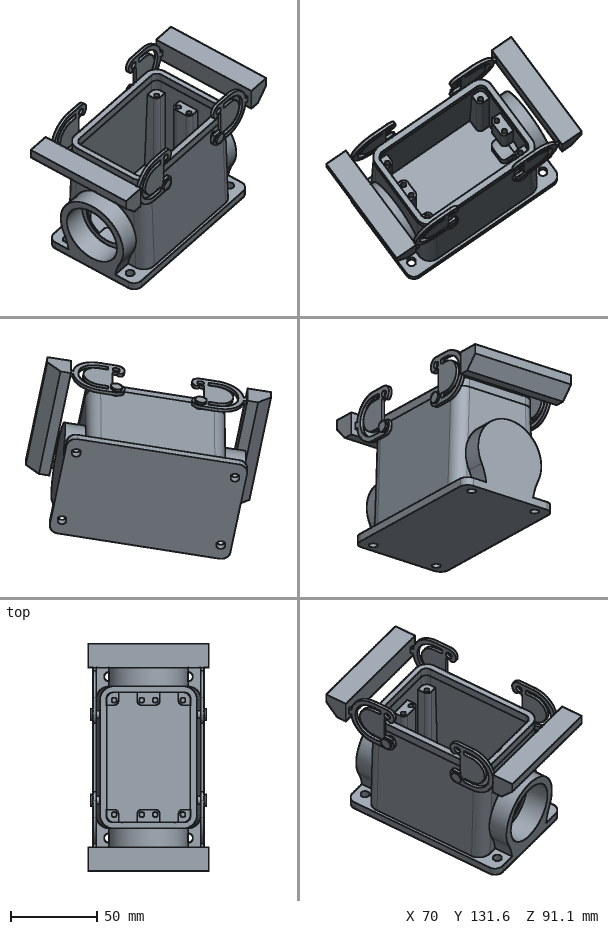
import cadquery as cq
import math

BASE_WIDTH = 64.4
BASE_LENGTH = 106.2
BASE_THICKNESS = 5.0
BASE_CORNER_RADIUS = 5.4
MOUNT_HOLE_DIAMETER = 5.2
MOUNT_HOLE_X = 23.0
MOUNT_HOLE_Y = 46.7

BODY_LENGTH = 82.2
BODY_WIDTH_BOTTOM = 60.6
BODY_WIDTH_TOP = 56.0
BODY_CORNER_RADIUS = 7.7
SIDE_WALL = 3.8
END_WALL = 3.5
CAVITY_LENGTH = BODY_LENGTH - 2 * END_WALL
CAVITY_CORNER_RADIUS = BODY_CORNER_RADIUS - SIDE_WALL
WALL_TOP = 69.5
FLOOR_TOP = BASE_THICKNESS

RIM_TOP = 75.0

BOSS_RADIUS = 23.0
BOSS_CENTRE_Z = 26.5
BOSS_FOOT_RADIUS = 37.0
ENTRY_BORE_RADIUS = 18.4
ENTRY_BORE_DEPTH = 14.3
ENTRY_HOLE_RADIUS = 15.1

POST_TOP = 62.0
POST_FACE_Y = 30.2
POST_EDGE_RADIUS = 2.8
MIDDLE_POST_WIDTH = 13.2
CORNER_POST_INNER_X = 17.3
POST_HOLE_DIAMETER = 3.0
POST_HOLE_DEPTH = 10.0
POST_HOLE_Y = 33.1
MIDDLE_POST_HOLE_X = 3.9
CORNER_POST_HOLE_X = 19.9

LEVER_TOP = 91.1
PLATE_OUTER_X = BASE_WIDTH / 2
PLATE_THICKNESS = 2.0
RING_CENTRE_Y = 34.7
RING_RADIUS = 15.55
LEVER_CENTRE_Z = LEVER_TOP - RING_RADIUS
SLOT_OUTER_RADIUS = 12.4
SLOT_INNER_RADIUS = 9.4
SLOT_END_Y = 29.5
SLOT_END_FILLET = 0.9
PLATE_EDGE_Y = 26.9
HOOK_CENTRE_Y = 24.8
HOOK_RADIUS = 5.0
HOOK_HOLE_RADIUS = 2.0
HOOK_Z = LEVER_TOP - HOOK_RADIUS
HOOK_THROAT_Z = 83.2
HOOK_LIP_RADIUS = 1.7
HOOK_LIP_ANGLE = 45.0
PIVOT_Z = 2 * LEVER_CENTRE_Z - HOOK_Z
PIVOT_EAR_TOP = 68.5
PLATE_EDGE_FILLET = 1.2
STUB_HEIGHT = 3.9

OVERALL_LENGTH = 131.6
BAR_LENGTH = 70.0
BAR_INNER_Y = 51.9
BAR_OUTER_Y = OVERALL_LENGTH / 2
BAR_TOP = 83.5
BAR_BOTTOM = 69.4
BAR_BEVEL_Y = 58.1
BAR_BEVEL_Z = 77.5

PIN_RADIUS = 2.2
PIN_HEAD_RADIUS = 3.4
PIN_HEAD_X = 33.5
PIN_ROOT_X = BODY_WIDTH_TOP / 2 - SIDE_WALL / 2


def rounded_outline(width, length, radius):
    return cq.Sketch().rect(width, length).vertices().fillet(radius)


def tapered_block(width_bottom, width_top, length, radius, z_bottom, z_top):
    """Block with rounded corners whose long sides lean inwards between two heights."""
    return (
        cq.Workplane("XZ", origin=(0, length / 2, 0))
        .moveTo(-width_bottom / 2, z_bottom)
        .lineTo(width_bottom / 2, z_bottom)
        .lineTo(width_top / 2, z_top)
        .lineTo(-width_top / 2, z_top)
        .close()
        .extrude(length)
        .edges("not(#Z or |Y)")
        .fillet(radius)
    )


def base_plate():
    plate = cq.Workplane("XY").placeSketch(rounded_outline(BASE_WIDTH, BASE_LENGTH, BASE_CORNER_RADIUS))
    return plate.extrude(BASE_THICKNESS)


def wall_block():
    return tapered_block(
        BODY_WIDTH_BOTTOM, BODY_WIDTH_TOP, BODY_LENGTH, BODY_CORNER_RADIUS, BASE_THICKNESS, WALL_TOP
    )


def cavity():
    return tapered_block(
        BODY_WIDTH_BOTTOM - 2 * SIDE_WALL,
        BODY_WIDTH_TOP - 2 * SIDE_WALL,
        CAVITY_LENGTH,
        CAVITY_CORNER_RADIUS,
        FLOOR_TOP,
        WALL_TOP,
    )


def entry_boss(side):
    """Round boss on a foot whose flanks sweep tangentially into the circle."""
    reach = BOSS_RADIUS + BOSS_FOOT_RADIUS
    foot_centre_x = math.sqrt(reach**2 - BOSS_CENTRE_Z**2)
    foot_x = foot_centre_x - BOSS_FOOT_RADIUS
    tangent_x = foot_centre_x * BOSS_RADIUS / reach
    tangent_z = BOSS_CENTRE_Z * (1 - BOSS_RADIUS / reach)
    mid_angle = math.asin(BOSS_CENTRE_Z / reach) / 2
    flank_x = foot_centre_x - BOSS_FOOT_RADIUS * math.cos(mid_angle)
    flank_z = BOSS_FOOT_RADIUS * math.sin(mid_angle)
    profile = (
        cq.Workplane("XZ")
        .moveTo(foot_x, 0)
        .threePointArc((flank_x, flank_z), (tangent_x, tangent_z))
        .threePointArc((0, BOSS_CENTRE_Z + BOSS_RADIUS), (-tangent_x, tangent_z))
        .threePointArc((-flank_x, flank_z), (-foot_x, 0))
        .close()
    )
    outer_y = BASE_LENGTH / 2
    inner_y = CAVITY_LENGTH / 2
    boss = profile.extrude(outer_y - inner_y)
    return boss.translate((0, outer_y if side > 0 else -inner_y, 0))


def cable_entry():
    """Stepped bore of the open entry at the -Y end, clearing the post behind it."""
    face = cq.Workplane("XZ", origin=(0, -BASE_LENGTH / 2, BOSS_CENTRE_Z))
    bore = face.circle(ENTRY_BORE_RADIUS).extrude(-ENTRY_BORE_DEPTH)
    hole = face.circle(ENTRY_HOLE_RADIUS).extrude(-(BASE_LENGTH / 2 - POST_FACE_Y))
    return bore.union(hole)


def screw_posts(side):
    """One middle post and two corner posts against an end wall."""
    wall_y = (CAVITY_LENGTH + END_WALL) / 2
    depth = wall_y - POST_FACE_Y
    height = POST_TOP - FLOOR_TOP
    corner_width = BODY_WIDTH_TOP / 2 - CORNER_POST_INNER_X
    corner_x = CORNER_POST_INNER_X + corner_width / 2
    centre_y = (wall_y + POST_FACE_Y) / 2

    def block(width, x, edges):
        post = cq.Workplane("XY").box(width, depth, height, centered=(True, True, False))
        return post.edges(edges).fillet(POST_EDGE_RADIUS).translate((x, centre_y, FLOOR_TOP))

    posts = block(MIDDLE_POST_WIDTH, 0, "|Z and <Y")
    posts = posts.union(block(corner_width, corner_x, "|Z and <Y and <X"))
    posts = posts.union(block(corner_width, -corner_x, "|Z and <Y and >X"))
    hole_places = [
        (x, POST_HOLE_Y)
        for x in (-CORNER_POST_HOLE_X, -MIDDLE_POST_HOLE_X, MIDDLE_POST_HOLE_X, CORNER_POST_HOLE_X)
    ]
    holes = (
        cq.Workplane("XY", origin=(0, 0, POST_TOP))
        .pushPoints(hole_places)
        .circle(POST_HOLE_DIAMETER / 2)
        .extrude(-POST_HOLE_DEPTH)
    )
    posts = posts.cut(holes).intersect(wall_block())
    return posts if side > 0 else posts.mirror("XZ")


def pivot_pin(side_x, side_y):
    pin = (
        cq.Workplane("YZ", origin=(PIN_ROOT_X, side_y * HOOK_CENTRE_Y, PIVOT_Z))
        .circle(PIN_RADIUS)
        .extrude(PIN_HEAD_X - PIN_ROOT_X)
    )
    head = (
        cq.Workplane("YZ", origin=(PLATE_OUTER_X, side_y * HOOK_CENTRE_Y, PIVOT_Z))
        .circle(PIN_HEAD_RADIUS)
        .extrude(PIN_HEAD_X - PLATE_OUTER_X)
    )
    pin = pin.union(head)
    return pin if side_x > 0 else pin.mirror("YZ")


def plate_blank():
    """Lever plate outline: half ring at the handle, hook above, pivot ear below."""
    plate_bottom = LEVER_CENTRE_Z - RING_RADIUS
    ear_y = HOOK_CENTRE_Y - math.sqrt(HOOK_RADIUS**2 - (PIVOT_EAR_TOP - PIVOT_Z) ** 2)
    lip_reach = HOOK_RADIUS - HOOK_LIP_RADIUS
    lip_angle = math.radians(HOOK_LIP_ANGLE)
    lip_y = HOOK_CENTRE_Y - lip_reach * math.cos(lip_angle)
    lip_z = HOOK_Z - lip_reach * math.sin(lip_angle)
    lip_start_y = lip_y - HOOK_LIP_RADIUS * math.cos(lip_angle)
    lip_start_z = lip_z - HOOK_LIP_RADIUS * math.sin(lip_angle)
    lip_end_y = lip_y + math.sqrt(HOOK_LIP_RADIUS**2 - (HOOK_THROAT_Z - lip_z) ** 2)
    fillet_mid = PLATE_EDGE_FILLET * (1 - math.sqrt(0.5))
    return (
        cq.Workplane("YZ", origin=(PLATE_OUTER_X - PLATE_THICKNESS, 0, 0))
        .moveTo(HOOK_CENTRE_Y, LEVER_TOP)
        .lineTo(RING_CENTRE_Y, LEVER_TOP)
        .threePointArc((RING_CENTRE_Y + RING_RADIUS, LEVER_CENTRE_Z), (RING_CENTRE_Y, plate_bottom))
        .lineTo(HOOK_CENTRE_Y, plate_bottom)
        .threePointArc((HOOK_CENTRE_Y - HOOK_RADIUS, PIVOT_Z), (ear_y, PIVOT_EAR_TOP))
        .lineTo(PLATE_EDGE_Y, PIVOT_EAR_TOP)
        .lineTo(PLATE_EDGE_Y, HOOK_THROAT_Z - PLATE_EDGE_FILLET)
        .threePointArc(
            (PLATE_EDGE_Y - fillet_mid, HOOK_THROAT_Z - fillet_mid),
            (PLATE_EDGE_Y - PLATE_EDGE_FILLET, HOOK_THROAT_Z),
        )
        .lineTo(lip_end_y, HOOK_THROAT_Z)
        .threePointArc((lip_y, lip_z - HOOK_LIP_RADIUS), (lip_start_y, lip_start_z))
        .threePointArc((HOOK_CENTRE_Y - HOOK_RADIUS, HOOK_Z), (HOOK_CENTRE_Y, LEVER_TOP))
        .close()
        .extrude(PLATE_THICKNESS)
    )


def spring_slot():
    """C-shaped slot that follows the half ring of the lever plate."""

    def half_disc(radius):
        return (
            cq.Workplane("YZ", origin=(PLATE_OUTER_X - PLATE_THICKNESS, 0, LEVER_CENTRE_Z))
            .moveTo(SLOT_END_Y, radius)
            .lineTo(RING_CENTRE_Y, radius)
            .threePointArc((RING_CENTRE_Y + radius, 0), (RING_CENTRE_Y, -radius))
            .lineTo(SLOT_END_Y, -radius)
            .close()
            .extrude(PLATE_THICKNESS)
        )

    slot = half_disc(SLOT_OUTER_RADIUS).cut(half_disc(SLOT_INNER_RADIUS))
    return slot.edges("|X and <Y").fillet(SLOT_END_FILLET)


def lever_plate():
    start_x = PLATE_OUTER_X - PLATE_THICKNESS
    stub_start_y = RING_CENTRE_Y + (RING_RADIUS + SLOT_OUTER_RADIUS) / 2
    stub = cq.Workplane("XY").box(
        PLATE_THICKNESS, BAR_INNER_Y - stub_start_y, STUB_HEIGHT, centered=(False, False, True)
    )
    hook_hole = (
        cq.Workplane("YZ", origin=(start_x, HOOK_CENTRE_Y, HOOK_Z))
        .circle(HOOK_HOLE_RADIUS)
        .extrude(PLATE_THICKNESS)
    )
    plate = plate_blank().cut(spring_slot()).cut(hook_hole)
    return plate.union(stub.translate((start_x, stub_start_y, LEVER_CENTRE_Z)))


def handle_bar():
    return (
        cq.Workplane("YZ", origin=(-BAR_LENGTH / 2, 0, 0))
        .moveTo(BAR_INNER_Y, BAR_BOTTOM)
        .lineTo(BAR_BEVEL_Y, BAR_BOTTOM)
        .lineTo(BAR_OUTER_Y, BAR_BEVEL_Z)
        .lineTo(BAR_OUTER_Y, BAR_TOP)
        .lineTo(BAR_INNER_Y, BAR_TOP)
        .close()
        .extrude(BAR_LENGTH)
    )


def lever(side):
    plate = lever_plate()
    whole = handle_bar().union(plate).union(plate.mirror("YZ"))
    return whole if side > 0 else whole.mirror("XZ")


def build_housing():
    """Housing in one piece with its pivot pins and both locking levers."""
    housing = base_plate().union(wall_block())
    for side in (-1, 1):
        housing = housing.union(entry_boss(side))
    housing = housing.cut(cavity())
    for side in (-1, 1):
        housing = housing.union(screw_posts(side))
    housing = housing.cut(cable_entry())
    mount_holes = (
        cq.Workplane("XY")
        .rect(2 * MOUNT_HOLE_X, 2 * MOUNT_HOLE_Y, forConstruction=True)
        .vertices()
        .circle(MOUNT_HOLE_DIAMETER / 2)
        .extrude(BASE_THICKNESS)
    )
    housing = housing.cut(mount_holes)
    for side_y in (-1, 1):
        housing = housing.union(lever(side_y))
        for side_x in (-1, 1):
            housing = housing.union(pivot_pin(side_x, side_y))
    return housing


def build_rim():
    """Upright sealing rim that sits on the wall tops."""
    height = RIM_TOP - WALL_TOP
    seat = cq.Workplane("XY", origin=(0, 0, WALL_TOP))
    outer = seat.placeSketch(rounded_outline(BODY_WIDTH_TOP, BODY_LENGTH, BODY_CORNER_RADIUS)).extrude(height)
    opening = seat.placeSketch(
        rounded_outline(BODY_WIDTH_TOP - 2 * SIDE_WALL, CAVITY_LENGTH, CAVITY_CORNER_RADIUS)
    ).extrude(height)
    return outer.cut(opening)


housing = build_housing()
rim = build_rim()

result = cq.Compound.makeCompound([*housing.solids().vals(), *rim.solids().vals()])